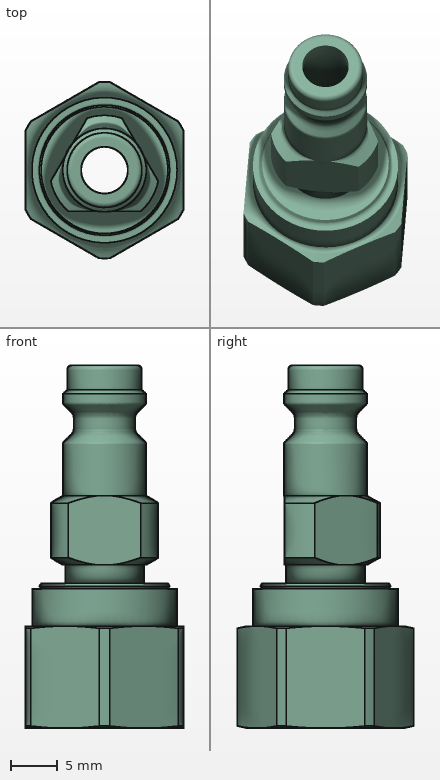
import cadquery as cq
import math

total_height = 39.0
bore_dia = 5.0

nut_across_flats = 17.0
nut_corner_dia = 19.0
nut_height = 10.95
nut_chamfer_height = 0.25

shoulder_dia = 15.6
shoulder_top = 14.98
ring_dia = 14.0
ring_bevel = 0.2
ring_top = 15.55

neck_dia = 8.5

grip_dia = 11.78
grip_flat_distance = 4.4
grip_bottom = 17.55
grip_top = 24.95
grip_bevel_height = 0.78

collar_dia = 8.97
stem_top = 30.65
groove_dia = 6.63
groove_fillet = 0.78
collar_fillet = 0.35
lock_collar_bottom = 34.85
lock_collar_top = 35.9
tip_dia = 8.05
tip_shoulder = 36.35
tip_fillet = 0.5


def revolve_profile(points):
    """Revolve (radius, height) points, closed along the Z axis."""
    bottom = points[0][1]
    top = points[-1][1]
    outline = [(0, bottom)] + points + [(0, top)]
    return cq.Workplane("XZ").polyline(outline).close().revolve(360, (0, 0), (0, 1))


def bevelled_bar(dia, end_dia, bottom, top, bevel_height):
    """Round bar with the same conical bevel at both ends."""
    return revolve_profile([
        (end_dia / 2, bottom),
        (dia / 2, bottom + bevel_height),
        (dia / 2, top - bevel_height),
        (end_dia / 2, top),
    ])


def make_nut():
    hexagon = (
        cq.Workplane("XY")
        .polygon(6, nut_across_flats / math.cos(math.pi / 6))
        .extrude(nut_height)
        .rotate((0, 0, 0), (0, 0, 1), 30)
    )
    return hexagon.intersect(
        bevelled_bar(nut_corner_dia, nut_across_flats, 0, nut_height, nut_chamfer_height)
    )


def make_shoulder():
    shoulder = cq.Workplane("XY").circle(shoulder_dia / 2).extrude(shoulder_top)
    ring_end_radius = ring_dia / 2 - ring_bevel
    ring = revolve_profile([
        (ring_end_radius, shoulder_top),
        (ring_dia / 2, (shoulder_top + ring_top) / 2),
        (ring_end_radius, ring_top),
    ])
    neck = cq.Workplane("XY").circle(neck_dia / 2).extrude(grip_bottom)
    return shoulder.union(ring).union(neck)


def make_grip():
    bar = bevelled_bar(grip_dia, collar_dia, grip_bottom, grip_top, grip_bevel_height)
    triangle = (
        cq.Workplane("XY")
        .workplane(offset=grip_bottom)
        .polygon(3, 4 * grip_flat_distance)
        .extrude(grip_top - grip_bottom)
        .rotate((0, 0, 0), (0, 0, 1), 90)
    )
    return bar.intersect(triangle)


def edges_at(height, radius):
    """Select the circular edge with the given height and radius."""
    tol = 0.005
    box_min = (-radius - tol, -radius - tol, height - tol)
    box_max = (radius + tol, radius + tol, height + tol)
    return cq.selectors.BoxSelector(box_min, box_max, boundingbox=True)


def make_plug():
    collar_radius = collar_dia / 2
    groove_radius = groove_dia / 2
    tip_radius = tip_dia / 2
    groove_depth = collar_radius - groove_radius
    groove_bottom = stem_top + groove_depth
    groove_top = lock_collar_bottom - groove_depth
    plug = revolve_profile([
        (collar_radius, grip_top),
        (collar_radius, stem_top),
        (groove_radius, groove_bottom),
        (groove_radius, groove_top),
        (collar_radius, lock_collar_bottom),
        (collar_radius, lock_collar_top),
        (tip_radius, tip_shoulder),
        (tip_radius, total_height),
    ])
    for height in (groove_bottom, groove_top):
        plug = plug.edges(edges_at(height, groove_radius)).fillet(groove_fillet)
    for height in (stem_top, lock_collar_bottom):
        plug = plug.edges(edges_at(height, collar_radius)).fillet(collar_fillet)
    return plug.edges(edges_at(total_height, tip_radius)).fillet(tip_fillet)


bore = cq.Workplane("XY").circle(bore_dia / 2).extrude(total_height)
result = make_nut().union(make_shoulder()).union(make_grip()).union(make_plug()).cut(bore)